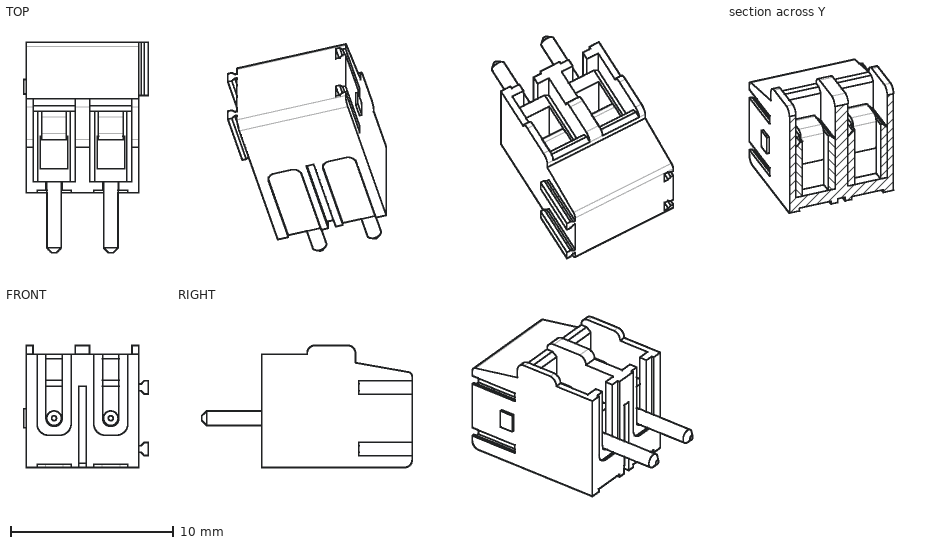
import cadquery as cq
import math


pole_count = 2
pitch = 3.5
pole_x = [(i - (pole_count - 1) / 2) * pitch for i in range(pole_count)]

housing_width = 6.96
housing_length = 9.3
deck_height = 7.0
side_x = housing_width / 2
back_bottom_radius = 0.5

roof_front_y = 5.8
roof_front_height = 6.48
roof_angle = 10
roof_back_radius = 0.3
roof_back_height = roof_front_height - (housing_length - roof_front_y) * math.tan(math.radians(roof_angle))

ear_front_y = 2.8
ear_height = 0.55
ear_radius = 0.5
ear_top = deck_height + ear_height

pin_height = 3.05
pin_diameter = 0.9
pin_reach = 3.7
pin_tip_chamfer = 0.3

pocket_width = 2.6
pocket_front_y = 0.67
pocket_back_y = 5.05
lead_in_length = 0.33
lead_in_height = 0.27

block_top = 5.03
block_bottom = 2 * pin_height - block_top
block_bevel = 0.3
window_width = 1.7
window_front_y = 1.5
window_back_y = 3.48

spring_width = 1.53
spring_front_y = 3.28
spring_rise = 0.37
spring_front_radius = 0.4
spring_back_radius = 0.36
spring_leg_bottom = pin_height

pin_slot_width = 1.0
panel_width = 2.1
panel_bottom = 2.0
panel_depth = 0.15
panel_radius = 0.7

groove_width = 0.48
groove_top = 5.03
groove_front_depth = 0.32
groove_underside_height = 0.27
groove_underside_length = groove_top

foot_recess_length = deck_height - panel_bottom
foot_recess_height = 0.2
foot_recess_radius = 0.5

rail_heights = [1.15, 4.95]
rail_length = 3.3
rail_neck_length = 0.14
rail_flare_end = 0.33
rail_depth = 0.59
rail_neck_width = 0.43
rail_head_width = 0.83
rail_side_clearance = 0.08
rail_end_clearance = 0.04

pad_depth = 0.15
pad_length = 0.9
pad_height = 1.18
pad_y = 6.55


def box(x0, x1, y0, y1, z0, z1):
    """Block between two opposite corners."""
    return cq.Workplane("XY").box(x1 - x0, y1 - y0, z1 - z0, centered=False).translate((x0, y0, z0))


def pole_box(x, width, y0, y1, z0, z1):
    """Block centred across a pole."""
    return box(x - width / 2, x + width / 2, y0, y1, z0, z1)


def side_profile(points):
    """Extrude a closed Y-Z outline across the whole housing width."""
    return cq.Workplane("YZ").polyline(points).close().extrude(side_x, both=True)


def housing_blank():
    main = side_profile([
        (0, 0),
        (housing_length, 0),
        (housing_length, roof_back_height),
        (roof_front_y, roof_front_height),
        (roof_front_y, deck_height),
        (0, deck_height),
    ])
    main = main.edges("|X and >Y and <Z").fillet(back_bottom_radius)
    main = main.edges(cq.NearestToPointSelector((0, housing_length, roof_back_height))).fillet(roof_back_radius)
    ears = box(-side_x, side_x, ear_front_y, roof_front_y, deck_height - ear_height, ear_top)
    ears = ears.edges("|X and >Z").fillet(ear_radius)
    return main.union(ears)


def pocket_cut(x):
    """Pocket, the gap between the ears above it, and the lead-in at its back edge."""
    pocket = pole_box(x, pocket_width, pocket_front_y, pocket_back_y, block_bottom, ear_top)
    ear_gap = pole_box(x, pocket_width, pocket_front_y, roof_front_y, deck_height, ear_top)
    lead_in = (
        cq.Workplane("YZ", origin=(x, 0, 0))
        .moveTo(pocket_back_y, deck_height)
        .lineTo(pocket_back_y + lead_in_length, deck_height)
        .lineTo(pocket_back_y, deck_height - lead_in_height)
        .close()
        .extrude(pocket_width / 2, both=True)
    )
    return pocket.union(ear_gap).union(lead_in)


def pin_slot_cut(x):
    """Round-bottomed slot through the front wall, open at the top."""
    straight = pole_box(x, pin_slot_width, 0, pocket_front_y, pin_height, deck_height)
    bottom = (
        cq.Workplane("XZ", origin=(x, 0, pin_height))
        .circle(pin_slot_width / 2)
        .extrude(-pocket_front_y)
    )
    return straight.union(bottom)


def panel_cut(x):
    """Shallow recess in the front face around the pin slot."""
    panel = pole_box(x, panel_width, 0, panel_depth, panel_bottom, deck_height)
    return panel.edges("|Y and <Z").fillet(panel_radius)


def foot_recess_cut(x):
    recess = pole_box(x, panel_width, 0, foot_recess_length, 0, foot_recess_height)
    return recess.edges("|Z and >Y").fillet(foot_recess_radius)


def centre_groove_cut():
    front = pole_box(0, groove_width, 0, groove_front_depth, 0, groove_top)
    underside = pole_box(0, groove_width, 0, groove_underside_length, 0, groove_underside_height)
    return front.union(underside)


def dovetail(wall_x, z, side_clearance=0, end_clearance=0):
    """Dovetail bar along the back of a side wall, widening toward +X; the clearances enlarge it."""
    neck = rail_neck_width / 2 + side_clearance
    head = rail_head_width / 2 + side_clearance
    neck_end = rail_neck_length + end_clearance
    flare_end = rail_flare_end + end_clearance
    end = rail_depth + end_clearance
    return (
        cq.Workplane("XZ", origin=(wall_x, housing_length, z))
        .moveTo(0, -neck)
        .lineTo(neck_end, -neck)
        .lineTo(flare_end, -head)
        .lineTo(end, -head)
        .lineTo(end, head)
        .lineTo(flare_end, head)
        .lineTo(neck_end, neck)
        .lineTo(0, neck)
        .close()
        .extrude(rail_length)
    )


def make_housing():
    body = housing_blank()
    for x in pole_x:
        body = body.cut(pocket_cut(x))
        body = body.cut(pin_slot_cut(x))
        body = body.cut(panel_cut(x))
        body = body.cut(foot_recess_cut(x))
    body = body.cut(centre_groove_cut())
    for z in rail_heights:
        body = body.cut(dovetail(-side_x, z, rail_side_clearance, rail_end_clearance))
        body = body.union(dovetail(side_x, z))
    pad = box(
        -side_x - pad_depth, -side_x,
        pad_y - pad_length / 2, pad_y + pad_length / 2,
        pin_height - pad_height / 2, pin_height + pad_height / 2,
    )
    return body.union(pad)


def make_contact(x):
    """Bevelled block with a window down through it and a pin out of its front."""
    block = pole_box(x, pocket_width, pocket_front_y, pocket_back_y, block_bottom, block_top)
    block = block.edges("|Y and >Z").chamfer(block_bevel)
    window = pole_box(x, window_width, window_front_y, window_back_y, block_bottom, block_top)
    pin = (
        cq.Workplane("XZ", origin=(x, pocket_front_y, pin_height))
        .circle(pin_diameter / 2)
        .extrude(pocket_front_y + pin_reach)
        .faces("<Y")
        .chamfer(pin_tip_chamfer)
    )
    return block.cut(window).union(pin)


def make_spring(x):
    """Rounded bar on top of the block with a leg down the back wall of the window."""
    bar = pole_box(x, spring_width, spring_front_y, pocket_back_y, block_top, block_top + spring_rise)
    bar = bar.edges("|X and >Y and >Z").fillet(spring_back_radius)
    leg = pole_box(x, spring_width, spring_front_y, window_back_y, spring_leg_bottom, block_top)
    spring = bar.union(leg)
    return spring.faces("<Y").edges(">Z").fillet(spring_front_radius)


housing = make_housing()
contacts = [make_contact(x) for x in pole_x]
springs = [make_spring(x) for x in pole_x]

result = cq.Compound.makeCompound([
    housing.val(),
    *[contact.val() for contact in contacts],
    *[spring.val() for spring in springs],
])